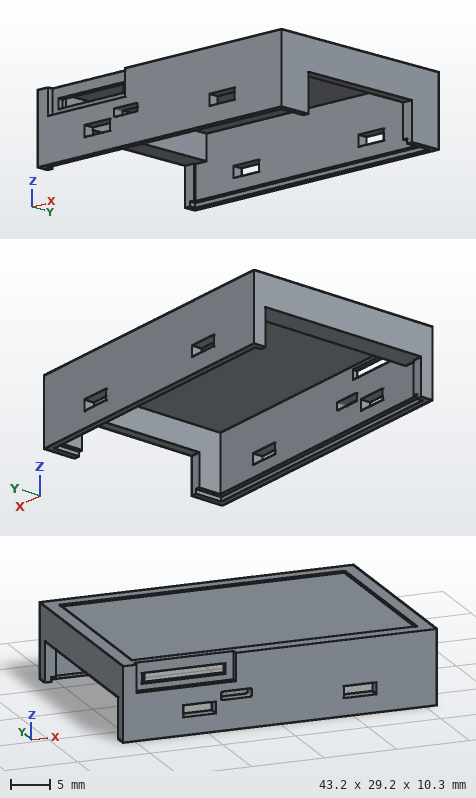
import cadquery as cq

length, width, height = 43.2, 29.2, 10.3
wall = 1.55
roof = 1.05

rabbet_height = 0.65
rim_thickness = 0.9

display_border = 2.0
display_depth = 0.25

opening_height = 5.57
left_opening_inset = 1.85
right_opening_inset = 5.0
ledge_end = 3.55

recess_start, recess_length = 1.85, 13.65
recess_bottom = 6.5
recess_depth = 0.8
slot_start, slot_length = 2.9, 11.55
slot_bottom, slot_height = 7.35, 1.43

window_start, window_length = 8.3, 4.5
window_bottom, window_height = 2.45, 1.6

port_start, port_length = 13.5, 4.2
port_bottom, port_height = 4.15, 1.12
port_radius = 0.25


def block(x, y, z, dx, dy, dz):
    """Box with its lowest corner at (x, y, z)."""
    return cq.Workplane("XY").box(dx, dy, dz, centered=False).translate((x, y, z))


def inset_block(inset, bottom, depth):
    """Box set in equally from all four sides of the case."""
    return block(inset, inset, bottom, length - 2 * inset, width - 2 * inset, depth)


def end_opening(x, inset):
    """Opening through one end wall, centred across the width."""
    return block(x, inset, 0, wall, width - 2 * inset, opening_height)


ceiling = height - roof
cavity = inset_block(wall, 0, ceiling)
ledge = block(wall, wall, opening_height, ledge_end - wall, width - 2 * wall, ceiling - opening_height)
result = block(0, 0, 0, length, width, height).cut(cavity.cut(ledge))
result = result.cut(inset_block(rim_thickness, 0, rabbet_height))
result = result.cut(inset_block(display_border, height - display_depth, display_depth))

result = result.cut(end_opening(0, left_opening_inset))
result = result.cut(end_opening(length - wall, right_opening_inset))

result = result.cut(
    block(recess_start, 0, recess_bottom, recess_length, recess_depth, height - recess_bottom)
)
result = result.cut(block(slot_start, 0, slot_bottom, slot_length, wall, slot_height))

for x in (window_start, length - window_start - window_length):
    result = result.cut(block(x, 0, window_bottom, window_length, width, window_height))

port = block(port_start, 0, port_bottom, port_length, wall, port_height)
result = result.cut(port.edges("|Y").fillet(port_radius))